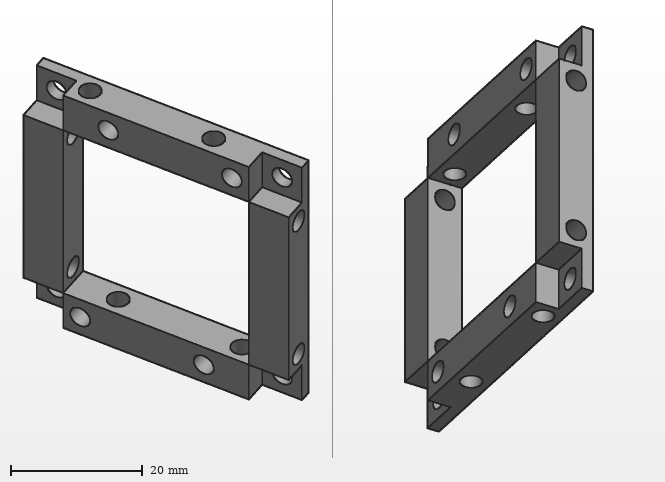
import cadquery as cq

side = 46.8
depth = 6.0
bar_width = 7.0
ear_thickness = 2.0
hole_diameter = 3.5

half_side = side / 2
bar_center = half_side - bar_width / 2
long_offset = 13.4
short_offset = 8.42
side_hole_height = 13.4


def bores(direction, points):
    """Cylinders along the given axis, centred on the points and long enough to cross one bar."""
    length = 2 * bar_width
    axis = cq.Vector(*direction)
    cutters = cq.Workplane()
    for point in points:
        start = cq.Vector(*point) - axis * (length / 2)
        cutters = cutters.add(cq.Solid.makeCylinder(hole_diameter / 2, length, start, axis))
    return cutters.combine()


window = side - 2 * bar_width
result = cq.Workplane().box(side, depth, side).cut(cq.Workplane().box(window, depth, window))

corner_depth = depth - ear_thickness
corners = [(x, z) for x in (-bar_center, bar_center) for z in (-bar_center, bar_center)]
for x, z in corners:
    relief = cq.Workplane().box(bar_width, corner_depth, bar_width)
    result = result.cut(relief.translate((x, -ear_thickness / 2, z)))

front_points = [(x, 0, z) for x, z in corners]
front_points += [(x, 0, bar_center) for x in (-short_offset, long_offset)]
front_points += [(x, 0, -bar_center) for x in (-long_offset, short_offset)]
result = result.cut(bores((0, 1, 0), front_points))

vertical_points = [(x, 0, bar_center) for x in (-long_offset, short_offset)]
vertical_points += [(x, 0, -bar_center) for x in (-short_offset, long_offset)]
result = result.cut(bores((0, 0, 1), vertical_points))

side_points = [
    (x, 0, z)
    for x in (-bar_center, bar_center)
    for z in (-side_hole_height, side_hole_height)
]
result = result.cut(bores((1, 0, 0), side_points))